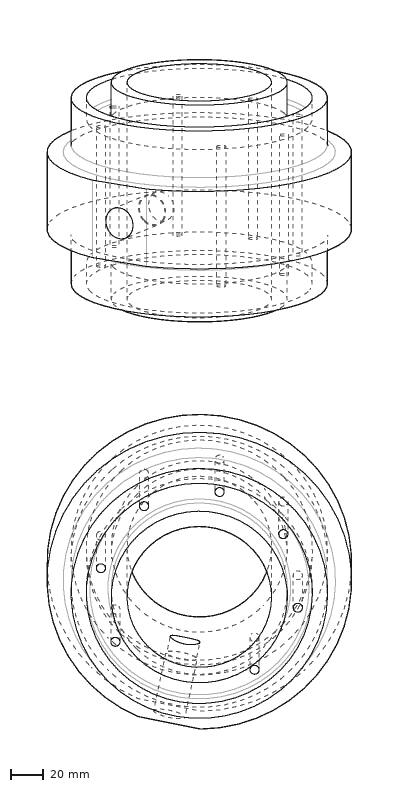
import cadquery as cq
import math

sleeve_height = 140.0
body_height = 120.0
flange_height = 50.0
recess_depth = 15.0

flange_radius = 95.0
body_radius = 80.0
recess_radius = 70.5
sleeve_radius = 55.0
bore_radius = 45.0
flange_fillet = 5.0
recess_fillet = 2.0

flat_width = 39.9
port_diameter = 20.0
port_inner_diameter = 18.8

hole_diameter = 5.7
hole_circle_radius = 62.7
hole_positions = 8
port_angle = 270

flat_distance = math.sqrt(flange_radius**2 - (flat_width / 2) ** 2)


def disc(radius, height):
    """Cylinder about Z, centred on the mid-plane."""
    return cq.Workplane("XY").workplane(offset=-height / 2).circle(radius).extrude(height)


def ring_recess():
    """Ring-shaped pocket in the upper end, with rounded floor corners."""
    floor = body_height / 2 - recess_depth
    ring = (
        cq.Workplane("XY")
        .workplane(offset=floor)
        .circle(recess_radius)
        .circle(sleeve_radius)
        .extrude(sleeve_height / 2 - floor)
    )
    return ring.faces("<Z").edges().fillet(recess_fillet)


def flanged_body():
    """Body with its wide middle flange, flattened on the -Y side."""
    flange = disc(flange_radius, flange_height)
    cutter = cq.Workplane("XY").box(
        2 * flange_radius, flange_radius, flange_height
    ).translate((0, -flat_distance - flange_radius / 2, 0))
    body = flange.cut(cutter).union(disc(body_radius, body_height))
    corner_plane = flange_height / 2
    for side in (1, -1):
        profile = (
            cq.Workplane("XZ")
            .moveTo(body_radius, side * corner_plane)
            .lineTo(body_radius + flange_fillet, side * corner_plane)
            .radiusArc((body_radius, side * (corner_plane + flange_fillet)), side * flange_fillet)
            .close()
        )
        body = body.union(profile.revolve(360, (0, 0, 0), (0, 1, 0)))
    return body


def axial_holes():
    """Holes around the web at equal steps, skipping the port."""
    step = 360 / hole_positions
    angles = [i * step for i in range(hole_positions) if i * step != port_angle]
    points = [
        (
            hole_circle_radius * math.cos(math.radians(angle)),
            hole_circle_radius * math.sin(math.radians(angle)),
        )
        for angle in angles
    ]
    return (
        cq.Workplane("XY")
        .pushPoints(points)
        .circle(hole_diameter / 2)
        .extrude(body_height / 2, both=True)
    )


def radial_port():
    """Stepped port from the flat to the bore, narrowing where it meets the sleeve."""
    narrow = cq.Workplane("XZ").circle(port_inner_diameter / 2).extrude(flat_distance)
    wide = (
        cq.Workplane("XZ", origin=(0, -sleeve_radius, 0))
        .circle(port_diameter / 2)
        .extrude(flat_distance - sleeve_radius)
    )
    return narrow.union(wide)


upper_recess = ring_recess()
result = (
    flanged_body()
    .union(disc(sleeve_radius, sleeve_height))
    .cut(upper_recess)
    .cut(upper_recess.mirror("XY"))
    .cut(disc(bore_radius, sleeve_height))
    .cut(axial_holes())
    .cut(radial_port())
)